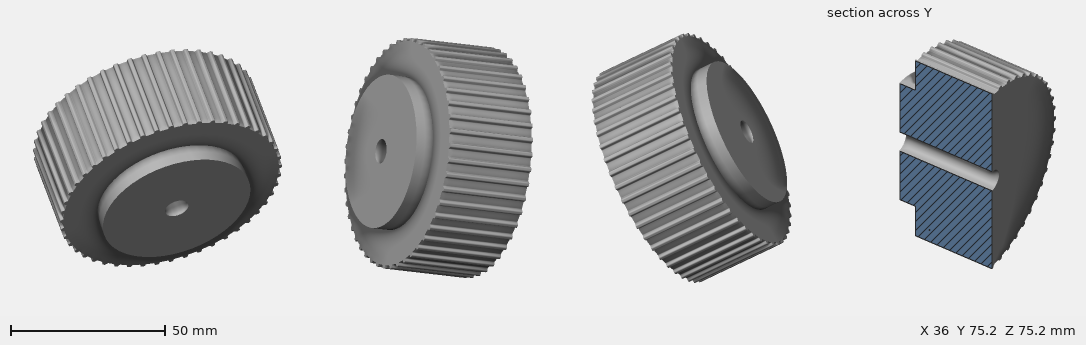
import cadquery as cq
import math

TOOTH_COUNT = 48
OUTER_DIAMETER = 75.15
TOOTHED_WIDTH = 30.0
HUB_DIAMETER = 50.0
HUB_LENGTH = 6.0
BORE_DIAMETER = 8.0

GROOVE_DEPTH = 1.1
GROOVE_FLOOR_WIDTH = 2.78
FLANK_ANGLE = 23.0
TIP_FILLET = 0.5
ROOT_FILLET = 0.3

outer_radius = OUTER_DIAMETER / 2
floor_radius = outer_radius - GROOVE_DEPTH
middle_radius = (outer_radius + floor_radius) / 2
total_length = TOOTHED_WIDTH + HUB_LENGTH
pitch_angle = 2 * math.pi / TOOTH_COUNT


def flank_half_angles():
    """Half-angles, in radians, that a groove spans at its floor and at the rim."""
    flank = math.radians(FLANK_ANGLE)
    floor_half_angle = math.asin(GROOVE_FLOOR_WIDTH / 2 / floor_radius)

    flank_offset = floor_radius * math.sin(floor_half_angle - flank)
    rim_half_angle = flank + math.asin(flank_offset / outer_radius)
    return floor_half_angle, rim_half_angle


def polar(radius, angle):
    return (radius * math.cos(angle), radius * math.sin(angle))


def is_tip_edge(edge):
    centre = edge.Center()
    return math.hypot(centre.y, centre.z) > middle_radius


def is_root_edge(edge):
    return not is_tip_edge(edge)


def make_toothed_rim():
    floor_half_angle, rim_half_angle = flank_half_angles()

    first_groove = pitch_angle / 2
    outline = cq.Workplane("YZ").moveTo(*polar(outer_radius, first_groove - rim_half_angle))
    for index in range(TOOTH_COUNT):
        groove = first_groove + index * pitch_angle
        next_tooth = groove + pitch_angle / 2
        next_groove = groove + pitch_angle
        outline = (
            outline.lineTo(*polar(floor_radius, groove - floor_half_angle))
            .threePointArc(polar(floor_radius, groove), polar(floor_radius, groove + floor_half_angle))
            .lineTo(*polar(outer_radius, groove + rim_half_angle))
            .threePointArc(
                polar(outer_radius, next_tooth),
                polar(outer_radius, next_groove - rim_half_angle),
            )
        )
    rim = outline.close().extrude(TOOTHED_WIDTH)

    rim = rim.edges("|X").filter(is_root_edge).fillet(ROOT_FILLET)
    return rim.edges("|X").filter(is_tip_edge).fillet(TIP_FILLET)


def make_hub():
    hub = cq.Workplane("YZ").workplane(offset=TOOTHED_WIDTH)
    return hub.circle(HUB_DIAMETER / 2).extrude(HUB_LENGTH)


def make_bore():
    return cq.Workplane("YZ").circle(BORE_DIAMETER / 2).extrude(total_length)


result = make_toothed_rim().union(make_hub()).cut(make_bore())